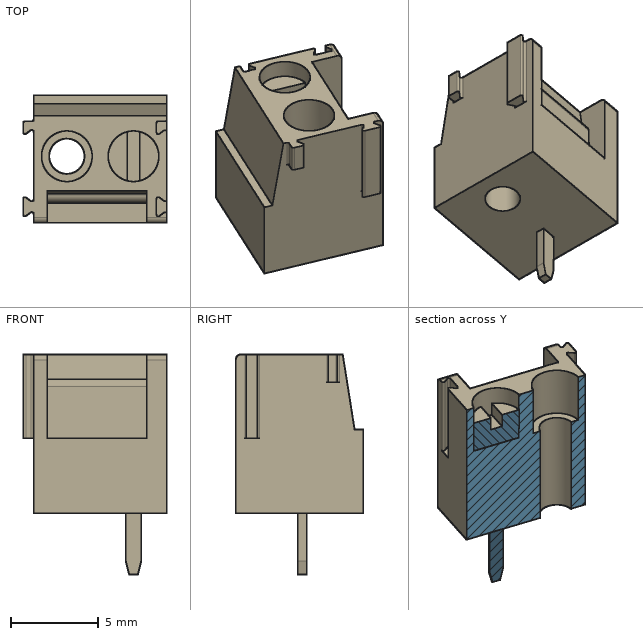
import cadquery as cq

WIDTH = 7.62
DEPTH = 7.3
HEIGHT = 9.1
OVERALL_HEIGHT = 12.6
POLES = 2
PITCH = WIDTH / POLES
POLE_X = [PITCH * (index + 0.5) for index in range(POLES)]
OPEN_POLE_X, SCREW_POLE_X = POLE_X
POLE_Y = 3.8
TOP_EDGE_RADIUS = 0.32

SHELF_HEIGHT = 4.8
SHELF_DEPTH = 0.49
SLOPE_TOP_INSET = 1.17

RECESS_LEFT = 0.8
RECESS_WIDTH = 5.68
RECESS_DROP = 4.8
RECESS_FLOOR_DEPTH = 1.11
STEP_DROP = 1.42
STEP_FRONT_DEPTH = 1.22
STEP_BACK_DEPTH = 1.66
STEP_RADIUS = 0.4
RECESS_TOP_DEPTH = 1.84

SCREW_HOLE_DIAMETER = 2.9
SCREW_HOLE_DEPTH = 3.0
THROUGH_HOLE_DIAMETER = 2.0

LUG_REACH = 0.59
LUG_EDGE_RADIUS = 0.1
FLANK_RISE = 0.44
ROOT_MARGIN = 0.06
FRONT_LUG_Y = 0.92
FRONT_LUG_TIP_WIDTH = 1.31
FRONT_LUG_LENGTH = RECESS_DROP
BACK_LUG_TIP_Y = 4.96
BACK_LUG_BACK_Y = 5.81
BACK_LUG_LENGTH = 1.6

SCREW_TOP_DROP = 1.06
SLOT_WIDTH = 0.7
SLOT_DEPTH = 0.81

PIN_LENGTH = OVERALL_HEIGHT - HEIGHT
PIN_WIDTH = 0.91
PIN_THICKNESS = 0.52
PIN_TIP_WIDTH = 0.5
PIN_TAPER_LENGTH = 0.8


def make_block():
    """Side outline with the sloped back and shelf, extruded across the width."""
    outline = [
        (0, 0),
        (DEPTH, 0),
        (DEPTH, SHELF_HEIGHT),
        (DEPTH - SHELF_DEPTH, SHELF_HEIGHT),
        (DEPTH - SLOPE_TOP_INSET, HEIGHT),
        (0, HEIGHT),
    ]
    block = cq.Workplane("YZ").polyline(outline).close().extrude(WIDTH)
    return block.faces(">Z").edges("<Y").fillet(TOP_EDGE_RADIUS)


def make_front_recess():
    """Volume of the front recess; the step in its back wall is rounded."""
    step_height = HEIGHT - STEP_DROP
    outline = [
        (0, HEIGHT - RECESS_DROP),
        (RECESS_FLOOR_DEPTH, HEIGHT - RECESS_DROP),
        (STEP_FRONT_DEPTH, step_height),
        (STEP_BACK_DEPTH, step_height),
        (RECESS_TOP_DEPTH, HEIGHT),
        (0, HEIGHT),
    ]
    recess = cq.Workplane("YZ", origin=(RECESS_LEFT, 0, 0)).polyline(outline).close().extrude(RECESS_WIDTH)
    step_edge = cq.selectors.NearestToPointSelector(
        (RECESS_LEFT + RECESS_WIDTH / 2, STEP_FRONT_DEPTH, step_height)
    )
    return recess.edges(step_edge).fillet(STEP_RADIUS)


def make_front_lug(wall_x):
    """Symmetric dovetail rail standing out to the left of the plane X = wall_x."""
    tip = FRONT_LUG_TIP_WIDTH / 2
    root = tip - FLANK_RISE
    tip_x = wall_x - LUG_REACH
    outline = [
        (wall_x, FRONT_LUG_Y - root),
        (tip_x, FRONT_LUG_Y - tip),
        (tip_x, FRONT_LUG_Y + tip),
        (wall_x, FRONT_LUG_Y + root),
    ]
    return extrude_lug(outline, FRONT_LUG_LENGTH)


def make_back_lug(wall_x):
    """One-sided dovetail rail: a sloped flank at the front and a straight back."""
    tip_x = wall_x - LUG_REACH
    outline = [
        (wall_x, BACK_LUG_TIP_Y + FLANK_RISE),
        (tip_x, BACK_LUG_TIP_Y),
        (tip_x, BACK_LUG_BACK_Y),
        (wall_x, BACK_LUG_BACK_Y),
    ]
    return extrude_lug(outline, BACK_LUG_LENGTH)


def extrude_lug(outline, length):
    """Extrude a rail outline down from the housing top and round its tip edges."""
    lug = cq.Workplane("XY", origin=(0, 0, HEIGHT)).polyline(outline).close().extrude(-length)
    return lug.faces("<X").edges("|Z").fillet(LUG_EDGE_RADIUS)


def make_hole(pole_x, diameter, depth):
    """Cylinder reaching down from the housing top on a pole axis."""
    top = cq.Workplane("XY", origin=(pole_x, POLE_Y, HEIGHT))
    return top.circle(diameter / 2).extrude(-depth)


def round_lug_roots(body, wall_x):
    """Round the upright edges where the rails or notches meet a side wall, but not the block corners."""
    roots = cq.selectors.BoxSelector(
        (wall_x - ROOT_MARGIN, ROOT_MARGIN, 0),
        (wall_x + ROOT_MARGIN, BACK_LUG_BACK_Y + ROOT_MARGIN, HEIGHT),
    )
    return body.edges("|Z").edges(roots).fillet(LUG_EDGE_RADIUS)


def make_housing():
    body = make_block().cut(make_front_recess())
    for make_lug in (make_front_lug, make_back_lug):
        body = body.cut(make_lug(WIDTH)).union(make_lug(0))
    for wall_x in (0, WIDTH):
        body = round_lug_roots(body, wall_x)
    for pole_x in POLE_X:
        body = body.cut(make_hole(pole_x, SCREW_HOLE_DIAMETER, SCREW_HOLE_DEPTH))
    return body.cut(make_hole(OPEN_POLE_X, THROUGH_HOLE_DIAMETER, HEIGHT))


def make_screw():
    """Slotted cylinder filling its hole from the bottom up."""
    screw_length = SCREW_HOLE_DEPTH - SCREW_TOP_DROP
    seat = cq.Workplane("XY", origin=(SCREW_POLE_X, POLE_Y, HEIGHT - SCREW_HOLE_DEPTH))
    blank = seat.circle(SCREW_HOLE_DIAMETER / 2).extrude(screw_length)
    slot = seat.workplane(offset=screw_length).rect(SLOT_WIDTH, SCREW_HOLE_DIAMETER).extrude(-SLOT_DEPTH)
    return blank.cut(slot)


def make_pin():
    """Flat pin hanging from the housing base, tapered at its tip."""
    half = PIN_WIDTH / 2
    half_tip = PIN_TIP_WIDTH / 2
    taper_z = PIN_TAPER_LENGTH - PIN_LENGTH
    outline = [
        (-half, 0),
        (-half, taper_z),
        (-half_tip, -PIN_LENGTH),
        (half_tip, -PIN_LENGTH),
        (half, taper_z),
        (half, 0),
    ]
    middle = cq.Workplane("XZ", origin=(SCREW_POLE_X, POLE_Y, 0))
    return middle.polyline(outline).close().extrude(PIN_THICKNESS / 2, both=True)


housing = make_housing()
screw = make_screw()
pin = make_pin()

result = cq.Compound.makeCompound([housing.val(), screw.val(), pin.val()])